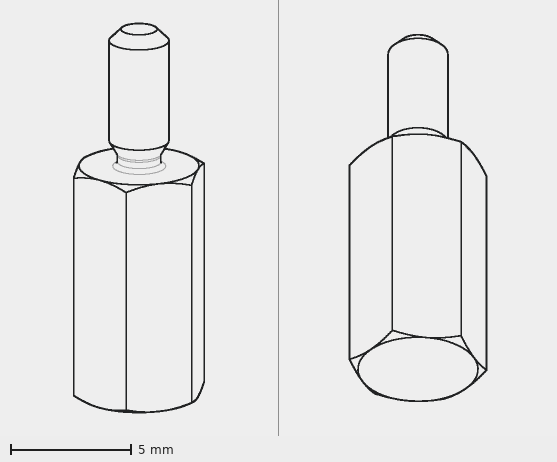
import cadquery as cq
import math

total_height = 16.0
body_height = 10.0
across_flats = body_height / 2
stud_radius = across_flats / 4
corner_angle = math.radians(30)

tip_chamfer = 0.5
neck_radius = 0.91
neck_fillet = 0.2
undercut_height = 1.1
undercut_angle = math.radians(30)

flat_radius = across_flats / 2
corner_radius = flat_radius / math.cos(math.pi / 6)
corner_drop = (corner_radius - flat_radius) * math.tan(corner_angle)


def make_body():
    """Hexagonal body, corners trimmed by a cone at both ends."""
    hexagon = cq.Workplane("XY").polygon(6, 2 * corner_radius).extrude(body_height)
    envelope = (
        cq.Workplane("XZ")
        .lineTo(flat_radius, 0)
        .lineTo(corner_radius, corner_drop)
        .lineTo(corner_radius, body_height - corner_drop)
        .lineTo(flat_radius, body_height)
        .lineTo(0, body_height)
        .close()
        .revolve(360, (0, 0, 0), (0, 1, 0))
    )
    return hexagon.intersect(envelope)


def make_stud():
    """Chamfered stud with a filleted neck and a conical undercut."""
    arc_center_radius = neck_radius + neck_fillet
    cone_start_radius = arc_center_radius - neck_fillet * math.cos(undercut_angle)
    undercut_top = body_height + undercut_height
    cone_start_z = undercut_top - (stud_radius - cone_start_radius) / math.tan(undercut_angle)
    neck_top = cone_start_z - neck_fillet * math.sin(undercut_angle)
    half_angle = undercut_angle / 2
    arc_middle = (
        arc_center_radius - neck_fillet * math.cos(half_angle),
        neck_top + neck_fillet * math.sin(half_angle),
    )
    return (
        cq.Workplane("XZ")
        .moveTo(0, body_height)
        .lineTo(neck_radius + neck_fillet, body_height)
        .radiusArc((neck_radius, body_height + neck_fillet), neck_fillet)
        .lineTo(neck_radius, neck_top)
        .threePointArc(arc_middle, (cone_start_radius, cone_start_z))
        .lineTo(stud_radius, undercut_top)
        .lineTo(stud_radius, total_height - tip_chamfer)
        .lineTo(stud_radius - tip_chamfer, total_height)
        .lineTo(0, total_height)
        .close()
        .revolve(360, (0, 0, 0), (0, 1, 0))
    )


result = make_body().union(make_stud())